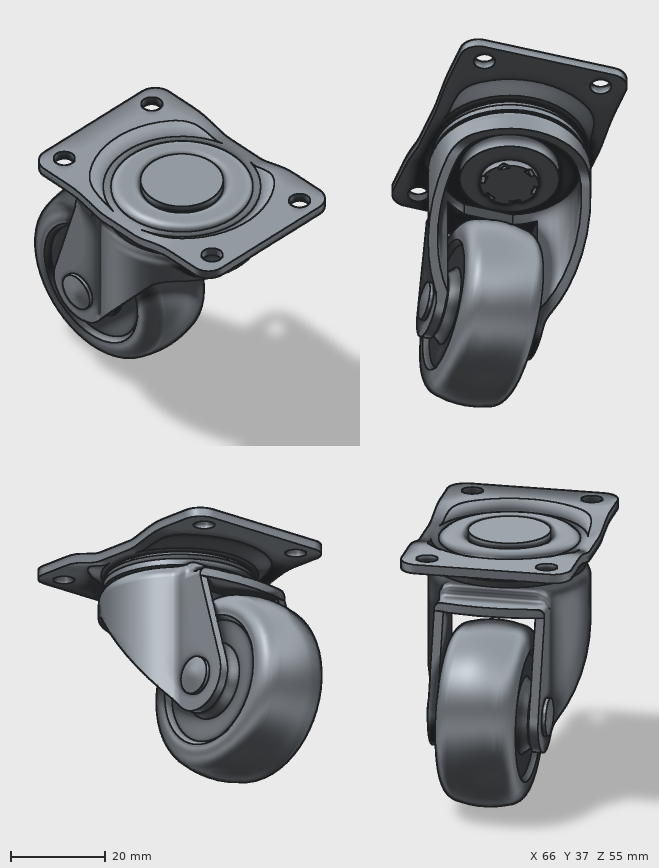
import cadquery as cq
import math


PLATE_LENGTH = 54.0
PLATE_WIDTH = 37.0
SHEET = 2.0 + 0.02
PLATE_CORNER_R = 4.0
HOLE_SPACING_X = 45.0
HOLE_SPACING_Y = 26.0
HOLE_D = 4.55
BEND_ANGLE = math.radians(15)
OUTER_BEND_X = 13.05
INNER_BEND_X = OUTER_BEND_X - SHEET / math.tan(BEND_ANGLE)
OUTER_BEND_R = 19.8
INNER_BEND_R = 9.25

DISH_TOP_R = 19.7
DISH_FLOOR_R = 16.75
RIDGE_FOOT_R = 15.1
RIDGE_OUTER_R = 12.55
RIDGE_INNER_R = 11.75
RIDGE_TOP_Z = -0.65
RIDGE_BULGE = 0.25
DISH_FLOOR_Z = -SHEET
PLATE_BOTTOM_Z = -2 * SHEET

PIN_HEAD_R = 8.8
PIN_HEAD_TOP_Z = -0.2
PIN_SHANK_R = 3.95
PIN_FOOT_R = 6.2
PIN_FOOT_BOTTOM_Z = -14.6
NOTCH_COUNT = 6
NOTCH_WIDTH = 2.4
NOTCH_HEIGHT = 0.85
NOTCH_DEPTH = 1.0

WHEEL_R = 20.0
AXLE_X = -19.0
AXLE_Z = -35.0
WHEEL_HALF_WIDTH = 8.5
TREAD_HALF_WIDTH = 5.2
TREAD_EDGE_R = 19.3
SHOULDER_MID_R = 18.0
SHOULDER_MID_Y = 7.6
RIM_OUTER_R = 14.85
RIM_INNER_R = 14.2
WEB_R = 13.25
WEB_HALF_WIDTH = 7.3
HUB_BASE_R = 8.4
HUB_END_R = 6.6
HUB_HALF_WIDTH = 9.5
AXLE_R = 3.1
AXLE_HEAD_R = 4.1
AXLE_HEAD_HEIGHT = 0.85
AXLE_TIP_HEIGHT = 0.8

FORK_TOP_Z = -7.6
SKIRT_R = 17.3
SKIRT_BOTTOM_Z = -13.8
SKIRT_TOP_FILLET = 3.0
LEG_OUTER_Y = 12.0
LEG_INNER_Y = LEG_OUTER_Y - SHEET
LEG_END_R = 7.65
LEG_SKIRT_FILLET = 3.4
REAR_EDGE_ANGLE = math.radians(50)
REAR_EDGE_FILLET = 8.25
NECK_X = -16.3
STEP_FILLET = 1.25
LIP_TOP_Z = -10.4
LIP_CORNER_X = -20.1
LIP_FRONT_X = -21.7
LIP_SIDE_FILLET = 1.6
BOSS_R = 10.55
BOSS_BOTTOM_Z = -12.95

RING_TOP_R = 14.6
RING_SHOULDER_R = 15.5
RING_SHOULDER_Z = -4.35
RING_RIM_R = 16.05
RING_RIM_Z = -5.15
RING_GROOVE_R = 15.6
FLANGE_R = 16.3
FLANGE_TOP_Z = -6.2


def disc(radius, bottom_z, top_z):
    """Cylinder on the swivel axis."""
    return cq.Workplane("XY").workplane(offset=bottom_z).circle(radius).extrude(top_z - bottom_z)


def block(x_min, x_max, half_y, bottom_z, top_z):
    """Box that is symmetric about the XZ plane."""
    size = (x_max - x_min, 2 * half_y, top_z - bottom_z)
    return cq.Workplane("XY").box(*size, centered=False).translate((x_min, -half_y, bottom_z))


def nearest(x, y, z):
    """Selector for the edge whose centre is closest to a point."""
    return cq.selectors.NearestToPointSelector((x, y, z))


def revolve_on_swivel(half_profile):
    """Revolve an (X, Z) profile about the swivel axis."""
    return half_profile.close().revolve(360, (0, 0), (0, 1))


def revolve_on_axle(half_profile):
    """Revolve an (X, Y) profile about the Y axis and move it onto the wheel axle."""
    return half_profile.close().revolve(360, (0, 0), (0, 1)).translate((AXLE_X, 0, AXLE_Z))


def axle_rod(half_length):
    """Plain rod on the wheel axle."""
    return (
        cq.Workplane("XZ")
        .center(AXLE_X, AXLE_Z)
        .circle(AXLE_R)
        .extrude(half_length, both=True)
    )


def make_bent_sheet():
    """Sheet whose middle is lowered by one thickness, with rounded bends."""
    shift = SHEET * math.tan(BEND_ANGLE / 2)
    half = PLATE_LENGTH / 2
    right = [
        (INNER_BEND_X, -SHEET),
        (OUTER_BEND_X, 0),
        (half, 0),
        (half, -SHEET),
        (OUTER_BEND_X + shift, -SHEET),
        (INNER_BEND_X + shift, PLATE_BOTTOM_Z),
    ]
    left = [(-x, z) for x, z in reversed(right)]
    sheet = cq.Workplane("XZ").polyline(right + left).close().extrude(PLATE_WIDTH / 2, both=True)
    bends = [
        (OUTER_BEND_X, 0, OUTER_BEND_R),
        (OUTER_BEND_X + shift, -SHEET, OUTER_BEND_R - SHEET),
        (INNER_BEND_X, -SHEET, INNER_BEND_R),
        (INNER_BEND_X + shift, PLATE_BOTTOM_Z, INNER_BEND_R + SHEET),
    ]
    for side in (-1, 1):
        for x, z, radius in bends:
            sheet = sheet.edges("|Y").edges(nearest(side * x, 0, z)).fillet(radius)
    return sheet


def make_plate():
    half = PLATE_LENGTH / 2
    outline = (
        block(-half, half, PLATE_WIDTH / 2, PLATE_BOTTOM_Z, 0)
        .edges("|Z")
        .fillet(PLATE_CORNER_R)
    )
    dish_blank = revolve_on_swivel(
        cq.Workplane("XZ")
        .moveTo(0, -SHEET)
        .lineTo(DISH_TOP_R, -SHEET)
        .lineTo(DISH_FLOOR_R, PLATE_BOTTOM_Z)
        .lineTo(0, PLATE_BOTTOM_Z)
    )
    dish_cut = revolve_on_swivel(
        cq.Workplane("XZ")
        .moveTo(0, 0)
        .lineTo(DISH_TOP_R, 0)
        .lineTo(DISH_FLOOR_R, DISH_FLOOR_Z)
        .lineTo(0, DISH_FLOOR_Z)
    )
    flank_mid_z = (RIDGE_TOP_Z + DISH_FLOOR_Z) / 2 + RIDGE_BULGE
    outer_mid_r = (RIDGE_FOOT_R + RIDGE_OUTER_R) / 2 + RIDGE_BULGE
    inner_mid_r = (PIN_HEAD_R + RIDGE_INNER_R) / 2 - RIDGE_BULGE
    ridge = revolve_on_swivel(
        cq.Workplane("XZ")
        .moveTo(PIN_HEAD_R, PLATE_BOTTOM_Z)
        .lineTo(RIDGE_FOOT_R, PLATE_BOTTOM_Z)
        .lineTo(RIDGE_FOOT_R, DISH_FLOOR_Z)
        .threePointArc((outer_mid_r, flank_mid_z), (RIDGE_OUTER_R, RIDGE_TOP_Z))
        .lineTo(RIDGE_INNER_R, RIDGE_TOP_Z)
        .threePointArc((inner_mid_r, flank_mid_z), (PIN_HEAD_R, DISH_FLOOR_Z))
    )
    holes = (
        cq.Workplane("XY")
        .rect(HOLE_SPACING_X, HOLE_SPACING_Y, forConstruction=True)
        .vertices()
        .circle(HOLE_D / 2)
        .extrude(-SHEET)
    )
    pin_hole = disc(PIN_HEAD_R, PLATE_BOTTOM_Z, 0)
    dished = make_bent_sheet().union(dish_blank).cut(dish_cut).union(ridge)
    return dished.intersect(outline).cut(holes).cut(pin_hole)


def make_kingpin():
    head = disc(PIN_HEAD_R, PLATE_BOTTOM_Z, PIN_HEAD_TOP_Z)
    shank = disc(PIN_SHANK_R, BOSS_BOTTOM_Z, PLATE_BOTTOM_Z)
    foot = disc(PIN_FOOT_R, PIN_FOOT_BOTTOM_Z, BOSS_BOTTOM_Z)
    notch = (
        cq.Workplane("YZ")
        .workplane(offset=PIN_FOOT_R - NOTCH_DEPTH)
        .moveTo(-NOTCH_WIDTH / 2, PIN_FOOT_BOTTOM_Z)
        .lineTo(NOTCH_WIDTH / 2, PIN_FOOT_BOTTOM_Z)
        .lineTo(0, PIN_FOOT_BOTTOM_Z + NOTCH_HEIGHT)
        .close()
        .extrude(2 * NOTCH_DEPTH)
    )
    pitch = 360 / NOTCH_COUNT
    for i in range(NOTCH_COUNT):
        foot = foot.cut(notch.rotate((0, 0, 0), (0, 0, 1), (i + 0.5) * pitch))
    return head.union(shank).union(foot)


def fork_side_profile():
    """Side outline of the fork, from the crown down to the axle eye."""
    corner_dx = LIP_CORNER_X - AXLE_X
    corner_dz = LIP_TOP_Z - SHEET - AXLE_Z
    distance = math.hypot(corner_dx, corner_dz)
    front_angle = math.atan2(corner_dz, corner_dx) + math.acos(LEG_END_R / distance)
    rear_angle = REAR_EDGE_ANGLE - math.pi / 2
    bottom_angle = (front_angle + rear_angle + 2 * math.pi) / 2

    def on_eye(angle):
        return (AXLE_X + LEG_END_R * math.cos(angle), AXLE_Z + LEG_END_R * math.sin(angle))

    rear_x, rear_z = on_eye(rear_angle)
    rear_top_x = rear_x + (SKIRT_BOTTOM_Z - rear_z) / math.tan(REAR_EDGE_ANGLE)
    half = PLATE_LENGTH / 2
    body = (
        cq.Workplane("XZ")
        .moveTo(-half, 0)
        .lineTo(-half, LIP_TOP_Z - SHEET)
        .lineTo(LIP_CORNER_X, LIP_TOP_Z - SHEET)
        .lineTo(*on_eye(front_angle))
        .threePointArc(on_eye(bottom_angle), (rear_x, rear_z))
        .lineTo(rear_top_x, SKIRT_BOTTOM_Z)
        .lineTo(half, SKIRT_BOTTOM_Z)
        .lineTo(half, 0)
        .close()
        .extrude(PLATE_WIDTH / 2, both=True)
    )
    return body.edges("|Y").edges(nearest(rear_top_x, 0, SKIRT_BOTTOM_Z)).fillet(REAR_EDGE_FILLET)


def make_lip_trim(start_x):
    """Material in front of the bowed front edge of the lip."""
    return (
        cq.Workplane("XY")
        .workplane(offset=LIP_TOP_Z - SHEET)
        .moveTo(start_x, -SKIRT_R)
        .lineTo(LIP_CORNER_X, -SKIRT_R)
        .lineTo(LIP_CORNER_X, -LEG_OUTER_Y)
        .threePointArc((LIP_FRONT_X, 0), (LIP_CORNER_X, LEG_OUTER_Y))
        .lineTo(LIP_CORNER_X, SKIRT_R)
        .lineTo(start_x, SKIRT_R)
        .close()
        .extrude(SHEET)
    )


def make_crown_ring():
    """Grooved ring with a flange that sits on the fork crown."""
    return revolve_on_swivel(
        cq.Workplane("XZ")
        .moveTo(0, PLATE_BOTTOM_Z)
        .lineTo(RING_TOP_R, PLATE_BOTTOM_Z)
        .lineTo(RING_SHOULDER_R, RING_SHOULDER_Z)
        .lineTo(RING_RIM_R, RING_RIM_Z)
        .lineTo(RING_GROOVE_R, FLANGE_TOP_Z)
        .lineTo(FLANGE_R, FLANGE_TOP_Z)
        .lineTo(FLANGE_R, FORK_TOP_Z)
        .lineTo(0, FORK_TOP_Z)
    )


def make_fork():
    low_z = AXLE_Z - LEG_END_R - SHEET
    open_z = low_z - SHEET
    start_x = 2 * NECK_X
    junction_x = -math.sqrt(SKIRT_R**2 - LEG_OUTER_Y**2)

    skirt = disc(SKIRT_R, low_z, FORK_TOP_Z)
    crown = skirt.union(block(start_x, 0, LEG_OUTER_Y, low_z, FORK_TOP_Z))
    for side in (-1, 1):
        corner = nearest(junction_x, side * LEG_OUTER_Y, (low_z + FORK_TOP_Z) / 2)
        crown = crown.edges("|Z").edges(corner).fillet(LEG_SKIRT_FILLET)
    crown = crown.faces(">Z").edges().fillet(SKIRT_TOP_FILLET)
    crown = crown.cut(block(start_x, NECK_X, SKIRT_R, low_z, FORK_TOP_Z))
    crown = crown.faces("<X").edges(">Z").fillet(STEP_FILLET)

    legs = (
        block(start_x, NECK_X + SHEET, LEG_OUTER_Y, low_z, LIP_TOP_Z)
        .faces(">Z")
        .edges("|X")
        .fillet(LIP_SIDE_FILLET)
    )
    body = crown.union(legs)
    body = body.edges(nearest(NECK_X, 0, LIP_TOP_Z)).fillet(STEP_FILLET)

    skirt_hollow = disc(SKIRT_R - SHEET, open_z, FORK_TOP_Z - SHEET)
    lip_back = block(start_x, NECK_X + SHEET, SKIRT_R, LIP_TOP_Z - SHEET, FORK_TOP_Z)
    slot = block(start_x, 0, LEG_INNER_Y, open_z, LIP_TOP_Z - SHEET)
    body = body.cut(skirt_hollow.cut(lip_back).union(slot))

    body = body.intersect(fork_side_profile()).cut(make_lip_trim(start_x))

    boss = disc(BOSS_R, BOSS_BOTTOM_Z, FORK_TOP_Z)
    pin_hole = disc(PIN_SHANK_R, BOSS_BOTTOM_Z, PLATE_BOTTOM_Z)
    body = body.union(boss).union(make_crown_ring())
    return body.cut(pin_hole).cut(axle_rod(LEG_OUTER_Y))


def make_wheel():
    return revolve_on_axle(
        cq.Workplane("XY")
        .moveTo(AXLE_R, HUB_HALF_WIDTH)
        .lineTo(HUB_END_R, HUB_HALF_WIDTH)
        .lineTo(HUB_BASE_R, WEB_HALF_WIDTH)
        .lineTo(WEB_R, WEB_HALF_WIDTH)
        .lineTo(RIM_INNER_R, WHEEL_HALF_WIDTH)
        .lineTo(RIM_OUTER_R, WHEEL_HALF_WIDTH)
        .threePointArc((SHOULDER_MID_R, SHOULDER_MID_Y), (TREAD_EDGE_R, TREAD_HALF_WIDTH))
        .threePointArc((WHEEL_R, 0), (TREAD_EDGE_R, -TREAD_HALF_WIDTH))
        .threePointArc((SHOULDER_MID_R, -SHOULDER_MID_Y), (RIM_OUTER_R, -WHEEL_HALF_WIDTH))
        .lineTo(RIM_INNER_R, -WHEEL_HALF_WIDTH)
        .lineTo(WEB_R, -WEB_HALF_WIDTH)
        .lineTo(HUB_BASE_R, -WEB_HALF_WIDTH)
        .lineTo(HUB_END_R, -HUB_HALF_WIDTH)
        .lineTo(AXLE_R, -HUB_HALF_WIDTH)
    )


def make_axle():
    head_y = LEG_OUTER_Y + AXLE_HEAD_HEIGHT
    head = revolve_on_axle(
        cq.Workplane("XY")
        .moveTo(0, LEG_OUTER_Y)
        .lineTo(AXLE_HEAD_R, LEG_OUTER_Y)
        .lineTo(AXLE_HEAD_R, head_y)
        .lineTo(0, head_y + AXLE_TIP_HEIGHT)
    )
    return axle_rod(LEG_OUTER_Y).union(head).union(head.mirror("XZ"))


plate = make_plate()
kingpin = make_kingpin()
fork = make_fork()
wheel = make_wheel()
axle = make_axle()

result = cq.Compound.makeCompound([plate.val(), kingpin.val(), fork.val(), wheel.val(), axle.val()])